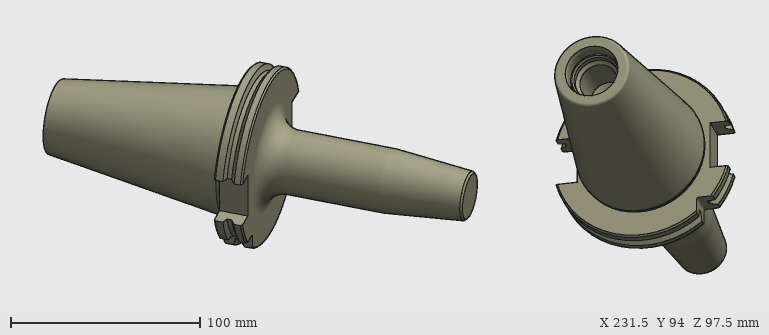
import cadquery as cq
import math

total_length = 231.5
taper_ratio = 7 / 24
gauge_radius = 35.0
taper_length = 100.5
shank_tip_radius = gauge_radius - taper_length * taper_ratio / 2
shank_tip_round = 1.6
neck_radius = 34.5
neck_start = 103.3
neck_bevel_start = 102.0

flange_start = 104.7
flange_end = 120.5
flange_diameter = 97.5
flange_radius = flange_diameter / 2
flange_chamfer = 1.0
groove_floor_radius = 45.5
groove_mouth_start = 109.8
groove_floor_start = 111.0
groove_floor_end = 113.5
groove_mouth_end = 116.0

slot_width = 26.0
back_slot_floor = 35.2
front_slot_floor = 37.3
notch_y = 29.9
notch_z = 29.6
notch_corner_radius = 1.5

nose_radius = 17.4
nose_fillet = 12.5
nose_taper_start = 187.1
nose_tip_radius = 13.5
nose_tip_chamfer = 1.2

mouth_radius = 14.4
mouth_depth = 2.8
counterbore_radius = 13.7
counterbore_depth = 8.5
thread_radius = 12.0
thread_depth = 12.7
drill_radius = 10.2
drill_depth = 37.0
drill_point_angle = 118
bore_chamfer = 1.0


def make_body():
    """Turned outer shape: taper, grooved flange and nose."""
    chamfer_radius = flange_radius - flange_chamfer
    shank_round_end_radius = shank_tip_radius + shank_tip_round * taper_ratio / 2
    nose_root_radius = nose_radius + nose_fillet
    fillet_diagonal = nose_fillet * math.sqrt(0.5)
    fillet_middle = (flange_end + nose_fillet - fillet_diagonal, nose_root_radius - fillet_diagonal)
    round_diagonal = shank_tip_round * math.sqrt(0.5)
    round_middle = (
        shank_tip_round - round_diagonal,
        shank_round_end_radius - shank_tip_round + round_diagonal,
    )
    outline = (
        cq.Workplane("XY")
        .lineTo(0, shank_round_end_radius - shank_tip_round)
        .threePointArc(round_middle, (shank_tip_round, shank_round_end_radius))
        .lineTo(taper_length, gauge_radius)
        .lineTo(neck_bevel_start, gauge_radius)
        .lineTo(neck_start, neck_radius)
        .lineTo(flange_start, neck_radius)
        .lineTo(flange_start, chamfer_radius)
        .lineTo(flange_start + flange_chamfer, flange_radius)
        .lineTo(groove_mouth_start, flange_radius)
        .lineTo(groove_floor_start, groove_floor_radius)
        .lineTo(groove_floor_end, groove_floor_radius)
        .lineTo(groove_mouth_end, flange_radius)
        .lineTo(flange_end - flange_chamfer, flange_radius)
        .lineTo(flange_end, chamfer_radius)
        .lineTo(flange_end, nose_root_radius)
        .threePointArc(fillet_middle, (flange_end + nose_fillet, nose_radius))
        .lineTo(nose_taper_start, nose_radius)
        .lineTo(total_length - nose_tip_chamfer, nose_tip_radius)
        .lineTo(total_length, nose_tip_radius - nose_tip_chamfer)
        .lineTo(total_length, 0)
        .close()
    )
    return outline.revolve(360, (0, 0, 0), (1, 0, 0))


def make_bore():
    """Tapered mouth, counterbore, thread bore and pilot drilling, each leading into the next by a cone."""
    point_length = drill_radius / math.tan(math.radians(drill_point_angle / 2))
    outline = (
        cq.Workplane("XY")
        .lineTo(0, mouth_radius)
        .lineTo(mouth_depth, counterbore_radius)
        .lineTo(counterbore_depth, counterbore_radius)
        .lineTo(counterbore_depth, thread_radius + bore_chamfer)
        .lineTo(counterbore_depth + bore_chamfer, thread_radius)
        .lineTo(thread_depth, thread_radius)
        .lineTo(thread_depth + thread_radius - drill_radius, drill_radius)
        .lineTo(drill_depth, drill_radius)
        .lineTo(drill_depth + point_length, 0)
        .close()
    )
    return outline.revolve(360, (0, 0, 0), (1, 0, 0))


def make_slot(floor_distance, side):
    """Driving slot through the flange; side is +1 for +Y and -1 for -Y."""
    flange_width = flange_end - flange_start
    depth = flange_radius - floor_distance
    return cq.Workplane("XY").box(flange_width, depth, slot_width).translate(
        (flange_start + flange_width / 2, side * (floor_distance + depth / 2), 0)
    )


def make_notch():
    """Orientation notch in the lower front of the rim, with a rounded inner corner."""
    flange_width = flange_end - flange_start
    notch = cq.Workplane("XY").box(
        flange_width, flange_radius - notch_y, flange_radius - notch_z, centered=False
    )
    notch = notch.translate((flange_start, -flange_radius, -flange_radius))
    return notch.edges("|X and >Y and >Z").fillet(notch_corner_radius)


result = (
    make_body()
    .cut(make_bore())
    .cut(make_slot(back_slot_floor, 1))
    .cut(make_slot(front_slot_floor, -1))
    .cut(make_notch())
)